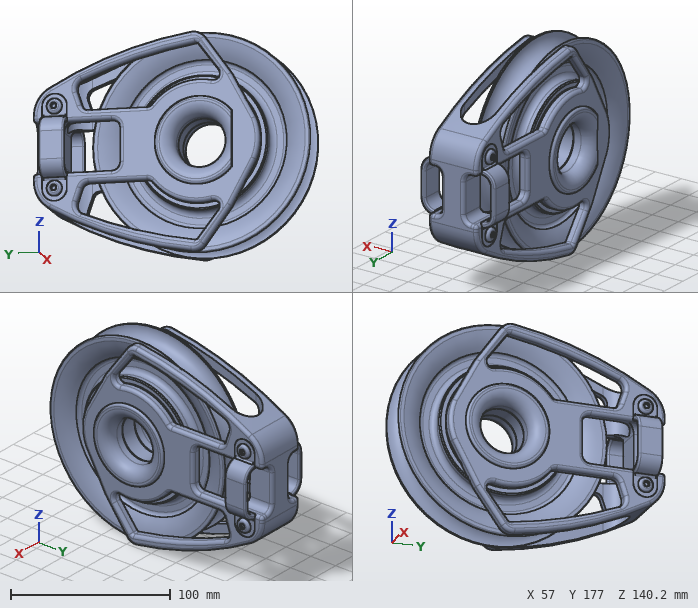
import cadquery as cq
import math


sheave_radius = 70.1
sheave_half_width = 11.5
rim_inner_radius = 67.0
rim_edge_radius = 0.7
groove_radius = 9.7
groove_bottom_radius = 59.8
dish_floor_x = 3.4
dish_floor_radius = 51.2
dish_wall_foot = (5.5, 53.8)
dish_wall_mid = (9.2, 59.8)
hub_radius = 43.0
hub_chamfer = 0.9
hub_foot_radius = 3.9
washer_radius = 39.0

frame_half_width = 18.5
slot_half_width = 12.4
slot_end_y = 88.9
head_y = 106.9
edge_radius = 2.5
nose_y = -39.0
nose_rise = 2.7
nose_half_height = 13.5
side_tip = (-0.2, 70.6)
side_tip_radius = 8.8
head_corner = (96.8, 38.4)
head_corner_radius = 20.2

collar_radius = 39.3
rail_top_z = 23.2

window_half_height = 16.3
window_near_y = 51.2
window_far_y = 89.0
window_corner_radius = 5.3
recess_floor_x = 8.7

boss_radius = 28.1
boss_face_x = 20.7
boss_edge_radius = 1.6
bore_radius = 16.02
flare_radius = 8.94
joint_x = 5.8
joint_width = 0.5
joint_radius = 18.0
boss_flat_y = -21.8

strap_y = 93.0
strap_width = 16.1
loop_outer_x = 28.5
loop_outer_z = 19.6
loop_outer_radius = 10.6
loop_thickness = 3.5
loop_edge_radius = 1.0
loop_root_x = 17.7
foot_height = 1.5
tab_thickness = 0.2
screw_z = 26.2
screw_head_height = 2.5
screw_top_diameter = 6.0
screw_dome_radius = 2.0
socket_mouth_diameter = 3.9
socket_diameter = 3.0
socket_depth = 1.5


def both_halves(half, plane):
    return half.union(half.mirror(plane))


def make_sheave():
    """Grooved wheel with dished sides, a raised hub and a thrust washer on each side."""
    foot_middle = hub_foot_radius * (1 - math.sqrt(0.5))
    half = (
        cq.Workplane("XY")
        .moveTo(0, bore_radius)
        .lineTo(slot_half_width, bore_radius)
        .lineTo(slot_half_width, washer_radius)
        .lineTo(sheave_half_width, washer_radius)
        .lineTo(sheave_half_width, hub_radius - hub_chamfer)
        .lineTo(sheave_half_width - hub_chamfer, hub_radius)
        .lineTo(dish_floor_x + hub_foot_radius, hub_radius)
        .threePointArc(
            (dish_floor_x + foot_middle, hub_radius + foot_middle),
            (dish_floor_x, hub_radius + hub_foot_radius),
        )
        .lineTo(dish_floor_x, dish_floor_radius)
        .tangentArcPoint(dish_wall_foot, relative=False)
        .threePointArc(dish_wall_mid, (sheave_half_width, rim_inner_radius))
        .lineTo(sheave_half_width, sheave_radius - rim_edge_radius)
        .radiusArc((sheave_half_width - rim_edge_radius, sheave_radius), -rim_edge_radius)
        .lineTo(0, sheave_radius)
        .close()
        .revolve(360, (0, 0, 0), (1, 0, 0))
    )
    groove = cq.Solid.makeTorus(
        groove_bottom_radius + groove_radius, groove_radius, cq.Vector(0, 0, 0), cq.Vector(1, 0, 0)
    )
    return both_halves(half, "YZ").cut(cq.Workplane(groove))


def through_x(sketch):
    return sketch.extrude(frame_half_width, both=True)


def make_outline():
    """Pear-shaped block of the full frame width."""
    nose_radius = (nose_half_height**2 + nose_rise**2) / (2 * nose_rise)
    half = through_x(
        cq.Workplane("YZ")
        .moveTo(nose_y, 0)
        .lineTo(head_y, 0)
        .lineTo(head_y, 20.9)
        .radiusArc(head_corner, -head_corner_radius)
        .threePointArc((56.8, 57.0), side_tip)
        .lineTo(-20.5, 42.5)
        .lineTo(nose_y + nose_rise, nose_half_height)
        .radiusArc((nose_y, 0), -nose_radius)
        .close()
    )
    tip_edge = cq.selectors.NearestToPointSelector((0, *side_tip))
    half = half.edges("|X").edges(tip_edge).fillet(side_tip_radius)
    return both_halves(half, "XY")


def make_side_window():
    """Opening between the outer arm, the collar round the boss and the straight rail."""
    arm_tip = (1.6, 63.2)
    collar_tip = (-21.6, math.sqrt(collar_radius**2 - 21.6**2))
    collar_end = (math.sqrt(collar_radius**2 - rail_top_z**2), rail_top_z)
    rail_end = (75.0, rail_top_z)
    head_end = (80.9, 40.4)
    window = through_x(
        cq.Workplane("YZ")
        .moveTo(*arm_tip)
        .lineTo(*collar_tip)
        .threePointArc((0, collar_radius), collar_end)
        .lineTo(*rail_end)
        .lineTo(*head_end)
        .threePointArc((47.3, 53.0), arm_tip)
        .close()
    )
    corners = (
        (arm_tip, 1.8),
        (collar_tip, 4.0),
        (collar_end, 3.5),
        (rail_end, 5.0),
        (head_end, 6.0),
    )
    for (y, z), radius in corners:
        corner = cq.selectors.NearestToPointSelector((0, y, z))
        window = window.edges("|X").edges(corner).fillet(radius)
    return window


def make_centre_window():
    length = window_far_y - window_near_y
    return through_x(
        cq.Workplane("YZ", origin=(0, window_near_y + length / 2, 0)).rect(length, 2 * window_half_height)
    ).edges("|X").fillet(window_corner_radius)


def make_head_recess():
    """Cut into one side of the head that leaves a thinner cross bar with rounded inner corners."""
    depth = frame_half_width - recess_floor_x
    start_y = window_far_y - window_corner_radius
    return (
        cq.Workplane("XY")
        .box(depth, head_y - start_y, 2 * window_half_height, centered=(False, False, True))
        .edges("<X and |Y")
        .fillet(window_corner_radius)
        .translate((recess_floor_x, start_y, 0))
    )


def make_wheel_slot():
    """Space for the sheave, open downwards along Y and round at the head."""
    tail_y = -sheave_radius
    centre_y = slot_end_y - slot_half_width
    return (
        cq.Workplane("XY")
        .moveTo(-slot_half_width, tail_y)
        .lineTo(-slot_half_width, centre_y)
        .threePointArc((0, slot_end_y), (slot_half_width, centre_y))
        .lineTo(slot_half_width, tail_y)
        .close()
        .extrude(sheave_radius + 1.8, both=True)
    )


def make_frame():
    frame = make_outline()
    frame = frame.cut(both_halves(make_side_window(), "XY"))
    frame = frame.cut(make_centre_window())
    recess = make_head_recess()
    frame = frame.cut(recess).cut(recess.mirror("YZ"))
    frame = frame.cut(make_wheel_slot())
    bar_box = cq.selectors.BoxSelector(
        (-frame_half_width - 1.8, head_y - 0.2, -window_half_height - 0.2),
        (frame_half_width + 1.8, head_y + 0.2, window_half_height + 0.2),
    )
    outer_edges = frame.faces("<X or >X").edges().add(frame.faces(">Y").edges(bar_box))
    return outer_edges.fillet(edge_radius)


def make_boss():
    """Round boss on the +X cheek, reaching inwards to the washer."""
    return (
        cq.Workplane("YZ", origin=(slot_half_width, 0, 0))
        .circle(boss_radius)
        .extrude(boss_face_x - slot_half_width)
        .faces(">X")
        .edges()
        .fillet(boss_edge_radius)
    )


def make_flared_bore():
    """Bore that opens to each side in a rounded mouth, with a narrow ring groove on each side."""
    mouth_radius = bore_radius + flare_radius
    half = (
        cq.Workplane("XY")
        .lineTo(0, bore_radius)
        .lineTo(joint_x, bore_radius)
        .lineTo(joint_x, joint_radius)
        .lineTo(joint_x + joint_width, joint_radius)
        .lineTo(joint_x + joint_width, bore_radius)
        .lineTo(boss_face_x - flare_radius, bore_radius)
        .radiusArc((boss_face_x, mouth_radius), -flare_radius)
        .lineTo(boss_face_x, 0)
        .close()
        .revolve(360, (0, 0, 0), (1, 0, 0))
    )
    return both_halves(half, "YZ")


def make_boss_flat():
    """Material taken off the -X boss, down to the cheek face."""
    size = 2 * boss_radius
    return cq.Workplane("XY").box(size, size, size).translate(
        (-frame_half_width - size / 2, boss_flat_y - size / 2, 0)
    )


def make_strap_ring():
    """Closed loop round the head, of which only the stretches outside the cheeks are kept."""
    inner_x = loop_outer_x - loop_thickness
    inner_z = loop_outer_z - loop_thickness
    blank = (
        cq.Workplane("XY")
        .box(2 * loop_outer_x, strap_width, 2 * loop_outer_z)
        .edges("|Y")
        .fillet(loop_outer_radius)
    )
    opening = (
        cq.Workplane("XY")
        .box(2 * inner_x, strap_width, 2 * inner_z)
        .edges("|Y")
        .fillet(loop_outer_radius - loop_thickness)
    )
    ring = blank.cut(opening).faces("<Y or >Y").edges().fillet(loop_edge_radius)
    return ring.cut(cq.Workplane("XY").box(2 * loop_root_x, strap_width, 3 * loop_outer_z))


def make_tabs():
    """Thin round-ended tabs on the +X cheek, under the screws."""
    tabs = cq.Workplane("YZ").slot2D(2 * screw_z + strap_width, strap_width, 90).extrude(tab_thickness)
    gap = 2 * (loop_outer_z - loop_thickness / 2)
    return tabs.cut(cq.Workplane("XY").box(strap_width, strap_width, gap)).translate((frame_half_width, 0, 0))


def make_screw():
    """Screw head with a rounded rim and a round, chamfered socket that ends in a cone."""
    head_x = frame_half_width + tab_thickness
    top_radius = screw_top_diameter / 2
    mouth_radius = socket_mouth_diameter / 2
    socket_radius = socket_diameter / 2
    chamfer = mouth_radius - socket_radius
    return (
        cq.Workplane("XY")
        .lineTo(0, top_radius + screw_dome_radius)
        .lineTo(screw_head_height - screw_dome_radius, top_radius + screw_dome_radius)
        .radiusArc((screw_head_height, top_radius), screw_dome_radius)
        .lineTo(screw_head_height, mouth_radius)
        .lineTo(screw_head_height - chamfer, socket_radius)
        .lineTo(screw_head_height - socket_depth, socket_radius)
        .lineTo(screw_head_height - socket_depth - chamfer, 0)
        .close()
        .revolve(360, (0, 0, 0), (1, 0, 0))
        .translate((head_x, 0, screw_z))
    )


def make_foot():
    """Hollow-cornered fillet where the upper end of the +X loop meets its tab."""
    face_x = frame_half_width + tab_thickness
    foot_z = loop_outer_z + foot_height
    width = strap_width - 2 * loop_edge_radius
    return (
        cq.Workplane("XZ")
        .moveTo(loop_root_x, loop_outer_z - loop_thickness / 2)
        .lineTo(loop_root_x, foot_z)
        .lineTo(face_x, foot_z)
        .radiusArc((face_x + foot_height, loop_outer_z - 0.2), -foot_height)
        .close()
        .extrude(width / 2, both=True)
    )


def make_strap():
    fittings = make_tabs().union(both_halves(make_screw().union(make_foot()), "XY"))
    strap = make_strap_ring().union(both_halves(fittings, "YZ"))
    return strap.translate((0, strap_y, 0))


result = make_frame().union(make_sheave())
result = result.union(both_halves(make_boss(), "YZ"))
result = result.cut(make_boss_flat()).cut(make_flared_bore())
result = result.union(make_strap())